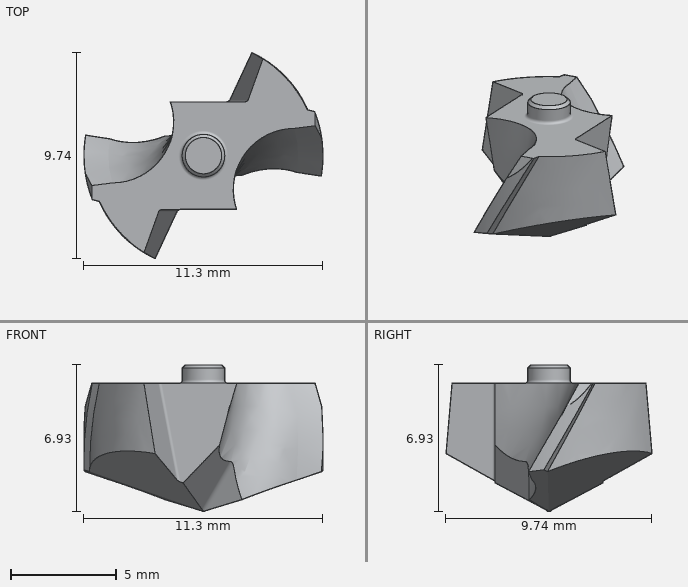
import cadquery as cq
import math


radius = 5.65
clearance_radius = 5.38
seat_z = 6.06
overlap = 0.11
reach = 13.56

pin_radius = 1.01
pin_height = 0.87
pin_chamfer = 0.15
pin_root_fillet = 0.16

twist_rate = 5.885
flute_edge = (5.28, 1.41)
flute_arc_start = (4.29, 1.29)
flute_arc_middle = (1.98, 0.11)
flute_arc_end = (1.57, -2.54)
flute_side_y = -4.52

margin_end_angle = 20.8
clearance_start_angle = 23.8
clearance_end_angle = 110.0

relief_start_z = 4.75
relief_depth = 0.37

wall_y = -2.54
heel_x = -2.08
heel_lean = 0.19
heel_slope = 0.36
heel_fillet = 0.17

lip_flank = (-0.352, -0.09)
rear_flank = (-0.355, -0.395)
gash_floor = (1.04, -0.923)

gash_wall_x_slope = -0.47
gash_wall_z_slope = -0.15
gash_fillet = 0.25


def polar(r, angle):
    a = math.radians(angle)
    return (r * math.cos(a), r * math.sin(a))


def half_space(normal, point=(0, 0, 0)):
    """Large block filling the side of a plane that its normal points to."""
    plane = cq.Plane(origin=point, normal=normal)
    return cq.Workplane(plane).rect(2 * reach, 2 * reach).extrude(reach)


def below(slopes):
    """Space under a point plane."""
    return half_space((slopes[0], slopes[1], -1))


def twisted(outline):
    """Sweep a seat-plane outline down to the tip along the helix."""
    total_twist = twist_rate * seat_z
    start = outline.rotate((0, 0, 0), (0, 0, 1), -total_twist)
    return cq.Workplane(start).toPending().twistExtrude(seat_z, total_twist)


def cut_pair(body, tool):
    """Cut a tool from both lobes."""
    return body.cut(tool).cut(tool.rotate((0, 0, 0), (0, 0, 1), 180))


def make_flute():
    edge_slope = (flute_edge[1] - flute_arc_start[1]) / (flute_edge[0] - flute_arc_start[0])
    outer_y = flute_edge[1] + edge_slope * (reach - flute_edge[0])
    outline = (
        cq.Workplane("XY")
        .moveTo(reach, outer_y)
        .lineTo(*flute_arc_start)
        .threePointArc(flute_arc_middle, flute_arc_end)
        .lineTo(flute_arc_end[0], flute_side_y)
        .lineTo(reach, flute_side_y)
        .close()
    )
    return twisted(outline.val())


def make_clearance():
    middle_angle = (clearance_start_angle + clearance_end_angle) / 2
    outer_radius = radius + overlap
    outline = (
        cq.Workplane("XY")
        .moveTo(*polar(outer_radius, margin_end_angle))
        .lineTo(*polar(clearance_radius, clearance_start_angle))
        .threePointArc(polar(clearance_radius, middle_angle), polar(clearance_radius, clearance_end_angle))
        .lineTo(*polar(outer_radius, clearance_end_angle))
        .threePointArc(polar(outer_radius, middle_angle), polar(outer_radius, margin_end_angle))
        .close()
    )
    return twisted(outline.val())


def make_step():
    wall_side = half_space((0, -1, 0), (0, wall_y, 0))
    heel_side = half_space((1, -heel_slope, heel_lean), (heel_x, wall_y, seat_z))
    step = wall_side.intersect(heel_side)
    nearest = cq.selectors.NearestToPointSelector((heel_x, wall_y, seat_z))
    return step.edges(nearest).fillet(heel_fillet)


def make_gash():
    wall_side = half_space((gash_wall_x_slope, -1, gash_wall_z_slope))
    gash = wall_side.intersect(below(gash_floor))
    nearest = cq.selectors.NearestToPointSelector((0, 0, 0))
    return gash.edges(nearest).fillet(gash_fillet)


def make_relief():
    height = seat_z - relief_start_z
    return half_space((height, 0, relief_depth), (radius, 0, relief_start_z))


def make_pin():
    root_radius = pin_radius + pin_root_fillet
    pin_top = seat_z + pin_height
    root_middle = pin_root_fillet * (1 - math.sqrt(0.5))
    return (
        cq.Workplane("XZ")
        .moveTo(0, seat_z - overlap)
        .lineTo(root_radius, seat_z - overlap)
        .lineTo(root_radius, seat_z)
        .threePointArc((pin_radius + root_middle, seat_z + root_middle), (pin_radius, seat_z + pin_root_fillet))
        .lineTo(pin_radius, pin_top - pin_chamfer)
        .lineTo(pin_radius - pin_chamfer, pin_top)
        .lineTo(0, pin_top)
        .close()
        .revolve(360, (0, 0), (0, 1))
    )


body = cq.Workplane("XY").circle(radius).extrude(seat_z)
tools = [
    make_flute(),
    make_clearance(),
    make_step(),
    below(lip_flank),
    below(rear_flank),
    make_gash(),
    make_relief(),
]
for tool in tools:
    body = cut_pair(body, tool)

result = body.union(make_pin())